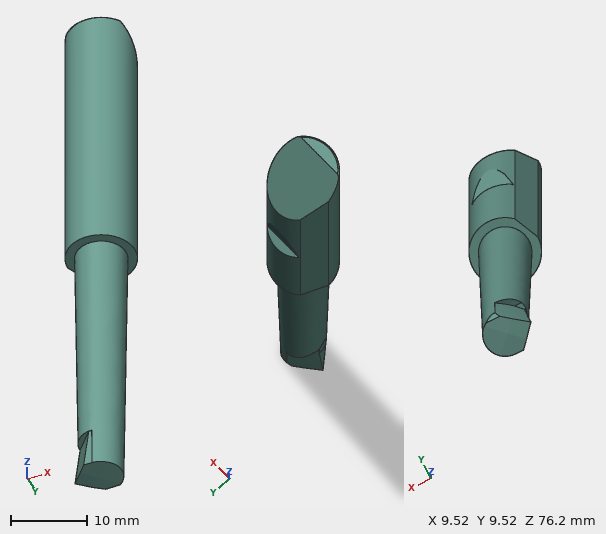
import cadquery as cq
import math

length = 76.2
shank_radius = 4.76
shank_bottom = 38.1

bevel_start_y = -2.9
end_chamfer = 0.2
flat_angle = 156.5
flat_distance = 4.35
notch_top = 61.4
notch_low = 53.8
notch_bottom = 53.1
notch_floor_y = 3.65

neck_top_radius = 3.5
neck_tip_radius = 3.0

flank_height = 5.8
gullet_height = 7.55
edge_x = -3.8
edge_lean = 0.8 / flank_height
flank_run = 2.6
gullet_bend_y = 1.0
gullet_mid = (2.05, 6.8)
gullet_side_z = 5.0
relief_y = 2.5
relief_z = 1.3
low_point_x = -0.4
end_rise = 0.2
end_half_width = 3.8


def make_shank():
    height = length - shank_bottom
    shank = cq.Workplane("XY").workplane(offset=shank_bottom).circle(shank_radius).extrude(height)
    return shank.faces(">Z").chamfer(end_chamfer)


def cut_across(body, points):
    """Remove a YZ outline over the full width of the shank."""
    return body.cut(cq.Workplane("YZ").polyline(points).close().extrude(shank_radius, both=True))


def cut_end_bevel(body):
    drop = shank_radius - bevel_start_y
    return cut_across(
        body,
        [
            (bevel_start_y, length),
            (shank_radius, length),
            (shank_radius, length - drop),
        ],
    )


def cut_side_flat(body):
    angle = math.radians(flat_angle)
    center = flat_distance + shank_radius / 2
    cutter = (
        cq.Workplane("XY")
        .box(shank_radius, 2 * shank_radius, length, centered=(True, True, False))
        .rotate((0, 0, 0), (0, 0, 1), flat_angle)
        .translate((center * math.cos(angle), center * math.sin(angle), shank_bottom))
    )
    return body.cut(cutter)


def cut_clamping_notch(body):
    return cut_across(
        body,
        [
            (shank_radius, notch_top),
            (notch_floor_y, notch_low),
            (shank_radius, notch_bottom),
        ],
    )


def make_neck():
    return (
        cq.Workplane("XZ")
        .moveTo(0, 0)
        .lineTo(neck_tip_radius, 0)
        .lineTo(neck_top_radius, shank_bottom)
        .lineTo(0, shank_bottom)
        .close()
        .revolve(360, (0, 0), (0, 1))
    )


def clear_tip(neck):
    """Remove the -X half of the neck end, with a curved roof on the +Y side."""
    side = 2 * neck_top_radius
    flank_space = cq.Workplane("XY").box(side, side, flank_height, centered=False).translate((-side, -side, 0))
    gullet_space = (
        cq.Workplane("YZ")
        .lineTo(0, gullet_height)
        .lineTo(gullet_bend_y, gullet_height)
        .threePointArc(gullet_mid, (neck_top_radius, gullet_side_z))
        .lineTo(neck_top_radius, 0)
        .close()
        .extrude(-side)
    )
    return neck.cut(flank_space).cut(gullet_space)


def leaning_block(outline, height):
    """Loft between the outlines at the bottom and at the given height."""
    return (
        cq.Workplane("XY")
        .polyline(outline(edge_x))
        .close()
        .workplane(offset=height)
        .polyline(outline(edge_x + edge_lean * height))
        .close()
        .loft(ruled=True)
    )


def flank_outline(edge):
    return [
        (edge, 0),
        (edge + flank_run, -neck_tip_radius),
        (0, -neck_tip_radius),
        (0, 0),
    ]


def rake_outline(edge):
    return [(edge, 0), (0, 0), (0, neck_tip_radius)]


def cut_corner_relief(body):
    """Bevel the bottom corner on the +Y side."""
    return cut_across(
        body,
        [
            (relief_y, 0),
            (neck_tip_radius, relief_z),
            (neck_top_radius, relief_z),
            (neck_top_radius, 0),
        ],
    )


def slope_end_face(body):
    """Slope the end face up in all four directions from its low point."""
    for plane, low in (("YZ", 0), ("XZ", low_point_x)):
        for side in (-end_half_width, end_half_width):
            wedge = (
                cq.Workplane(plane)
                .polyline([(low, 0), (low + side, end_rise), (low + side, 0)])
                .close()
                .extrude(end_half_width, both=True)
            )
            body = body.cut(wedge)
    return body


shank = cut_clamping_notch(cut_side_flat(cut_end_bevel(make_shank())))
flank = leaning_block(flank_outline, flank_height)
rake = leaning_block(rake_outline, gullet_height)
tool_end = clear_tip(make_neck()).union(flank).union(rake)
tool_end = slope_end_face(cut_corner_relief(tool_end))
result = shank.union(tool_end)